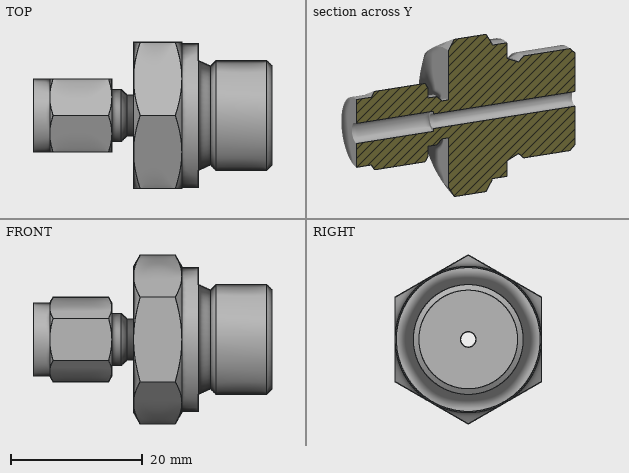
import cadquery as cq
import math

NUT_COLLAR_END = 2.5
NUT_END = 11.9
NECK_SHOULDER = 13.3
NECK_TAPER_END = 14.2
HEX_START = 15.2
HEX_END = 22.5
FLANGE_END = 25.0
RELIEF_BOTTOM = 26.85
TOTAL_LENGTH = 36.2

NUT_FLATS = 11.1
BODY_FLATS = 22.2
HEX_CHAMFER_ANGLE = 30.0

NECK_SHOULDER_DIAMETER = 7.94
NECK_DIAMETER = 6.25
FLANGE_DIAMETER = 21.8
THREAD_DIAMETER = 16.66
THREAD_CHAMFER = 0.85

BORE_DIAMETER = 2.3
TUBE_SOCKET_DIAMETER = 3.2
TUBE_SOCKET_DEPTH = 12.7


def revolve_about_x(outline):
    """Solid of revolution about X from (station, radius) points."""
    return cq.Workplane("XZ").polyline(outline).close().revolve(360, (0, 0, 0), (1, 0, 0))


def cylinder(start, end, diameter):
    """Cylinder on the X axis between two stations."""
    return cq.Workplane("YZ").workplane(offset=start).circle(diameter / 2).extrude(end - start)


def chamfered_hexagon(start, end, flats):
    """Hexagonal prism with corners up and down, its corners turned off conically at both ends."""
    corner_radius = flats / 2 / math.cos(math.radians(30))
    face_radius = flats / 2
    chamfer_length = (corner_radius - face_radius) * math.tan(math.radians(HEX_CHAMFER_ANGLE))
    prism = (
        cq.Workplane("YZ")
        .workplane(offset=start)
        .transformed(rotate=(0, 0, 90))
        .polygon(6, 2 * corner_radius)
        .extrude(end - start)
    )
    envelope = revolve_about_x([
        (start, 0),
        (start, face_radius),
        (start + chamfer_length, corner_radius),
        (end - chamfer_length, corner_radius),
        (end, face_radius),
        (end, 0),
    ])
    return prism.intersect(envelope)


def turned_core():
    """Nut collar, neck, flange, relief groove and thread blank as one turned profile."""
    collar_radius = NUT_FLATS / 2
    shoulder_radius = NECK_SHOULDER_DIAMETER / 2
    neck_radius = NECK_DIAMETER / 2
    flange_radius = FLANGE_DIAMETER / 2
    thread_radius = THREAD_DIAMETER / 2
    relief_radius = thread_radius - THREAD_CHAMFER
    return revolve_about_x([
        (0, 0),
        (0, collar_radius),
        (NUT_COLLAR_END, collar_radius),
        (NUT_COLLAR_END, shoulder_radius),
        (NECK_SHOULDER, shoulder_radius),
        (NECK_TAPER_END, neck_radius),
        (HEX_START, neck_radius),
        (HEX_START, flange_radius),
        (FLANGE_END, flange_radius),
        (FLANGE_END, thread_radius),
        (RELIEF_BOTTOM, relief_radius),
        (RELIEF_BOTTOM + THREAD_CHAMFER, thread_radius),
        (TOTAL_LENGTH - THREAD_CHAMFER, thread_radius),
        (TOTAL_LENGTH, relief_radius),
        (TOTAL_LENGTH, 0),
    ])


nut_hexagon = chamfered_hexagon(NUT_COLLAR_END, NUT_END, NUT_FLATS)
body_hexagon = chamfered_hexagon(HEX_START, HEX_END, BODY_FLATS)
tube_socket = cylinder(0, TUBE_SOCKET_DEPTH, TUBE_SOCKET_DIAMETER)
through_bore = cylinder(0, TOTAL_LENGTH, BORE_DIAMETER)

result = (
    turned_core()
    .union(nut_hexagon)
    .union(body_hexagon)
    .cut(tube_socket)
    .cut(through_bore)
)